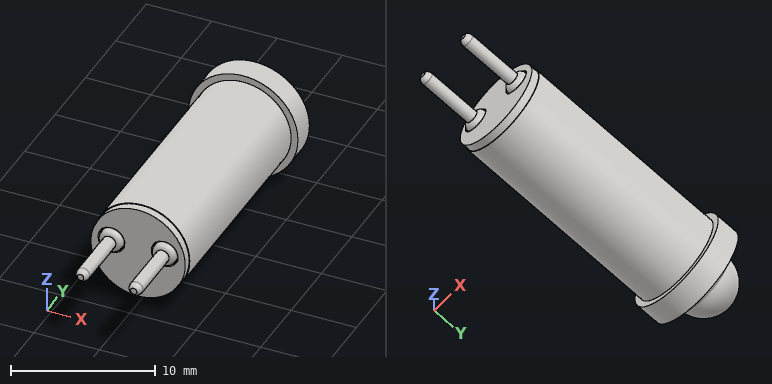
import cadquery as cq
import math

overall_length = 27.47

flange_diameter = 8.38
flange_thickness = 1.92
barrel_diameter = 7.33
rear_step_diameter = 7.22
rear_step_length = 0.63
housing_length = 19.23

lens_diameter = 5.0
lens_cylinder_length = 0.65

pin_spacing = 4.07
pin_height = 0.52
pin_diameter = 1.02
tip_flat_diameter = 0.5
collar_diameter = 1.85
collar_rise = 0.35
recess_diameter = 2.03
recess_depth = 0.27

lens_radius = lens_diameter / 2
lens_length = lens_cylinder_length + lens_radius
pin_length = overall_length - housing_length - lens_length
pin_positions = [(side * pin_spacing / 2, pin_height) for side in (-1, 1)]


def disc(diameter, start, length):
    """Cylinder on the Y axis, running from Y = start toward +Y."""
    return cq.Workplane("XZ", origin=(0, start, 0)).circle(diameter / 2).extrude(-length)


def make_housing():
    rear_step = disc(rear_step_diameter, 0, rear_step_length)
    barrel = disc(barrel_diameter, rear_step_length, housing_length - rear_step_length)
    flange = disc(flange_diameter, housing_length - flange_thickness, flange_thickness)
    body = rear_step.union(barrel).union(flange)
    for x, z in pin_positions:
        body = body.cut(disc(recess_diameter, 0, recess_depth).translate((x, 0, z)))
    return body


def make_lens():
    """Half profile of the lens turned about the Y axis."""
    dome_start = housing_length + lens_cylinder_length
    arc_offset = lens_radius * math.sqrt(0.5)
    profile = (
        cq.Workplane("XY")
        .moveTo(0, housing_length)
        .lineTo(lens_radius, housing_length)
        .lineTo(lens_radius, dome_start)
        .threePointArc((arc_offset, dome_start + arc_offset), (0, dome_start + lens_radius))
        .close()
    )
    return profile.revolve(360, (0, 0, 0), (0, 1, 0))


def make_pin(x, z):
    """Half profile of a pin turned about the Y axis, then moved to its place in the rear face."""
    pin_radius = pin_diameter / 2
    collar_radius = collar_diameter / 2
    tip_flat_radius = tip_flat_diameter / 2
    tip_length = math.sqrt(pin_radius**2 - tip_flat_radius**2)
    tip_start = tip_length - pin_length
    tip_middle = math.atan2(tip_length, tip_flat_radius) / 2
    collar_rounding = collar_radius - pin_radius
    rounding_start = collar_rounding - collar_rise
    rounding_offset = collar_rounding * math.sqrt(0.5)
    profile = (
        cq.Workplane("XY")
        .moveTo(0, recess_depth)
        .lineTo(collar_radius, recess_depth)
        .lineTo(collar_radius, rounding_start)
        .threePointArc(
            (pin_radius + rounding_offset, rounding_start - rounding_offset),
            (pin_radius, -collar_rise),
        )
        .lineTo(pin_radius, tip_start)
        .threePointArc(
            (pin_radius * math.cos(tip_middle), tip_start - pin_radius * math.sin(tip_middle)),
            (tip_flat_radius, -pin_length),
        )
        .lineTo(0, -pin_length)
        .close()
    )
    return profile.revolve(360, (0, 0, 0), (0, 1, 0)).translate((x, 0, z))


housing = make_housing()
lens = make_lens()
pins = [make_pin(x, z) for x, z in pin_positions]

result = cq.Compound.makeCompound([housing.val(), lens.val(), *[pin.val() for pin in pins]])